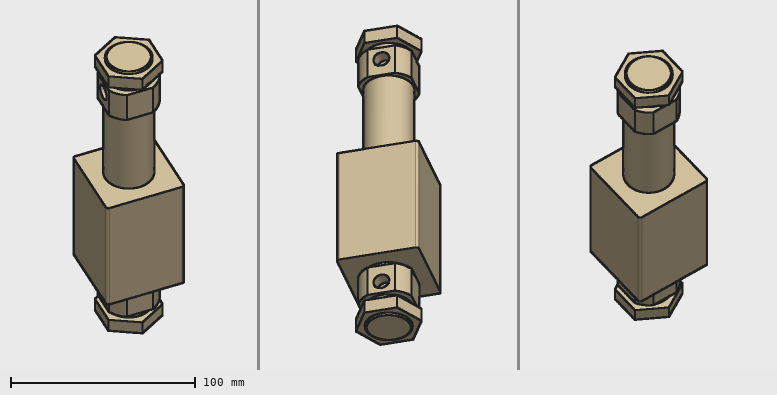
import cadquery as cq
import math

total_length = 187.0

carriage_width = 46.0
carriage_bottom = -60.0
carriage_length = 70.0
carriage_corner_radius = 1.5

tube_diameter = 27.8

tip_diameter = 26.0
tip_height = 1.0
tip_taper = 45.0
nut_across_flats = 32.0
nut_height = 8.0
neck_diameter = 26.0
neck_height = 4.0
head_width = 30.0
head_height = 18.0
head_flat_width = 15.4
port_diameter = 8.7
port_depth = 8.0
port_offset = 7.5

tip_top = total_length / 2
nut_top = tip_top - tip_height
nut_bottom = nut_top - nut_height
head_top = nut_bottom - neck_height
head_bottom = head_top - head_height
port_height = head_top - port_offset
nut_across_corners = nut_across_flats / math.cos(math.pi / 6)
head_diameter = math.hypot(head_width, head_flat_width)


def disc(diameter, bottom, top):
    """Round bar along Z between two heights."""
    return cq.Workplane("XY").workplane(offset=bottom).circle(diameter / 2).extrude(top - bottom)


def make_head():
    """Round head with four flats and a blind port in its -Y flat."""
    flats = (
        cq.Workplane("XY").workplane(offset=head_bottom)
        .rect(head_width, head_width).extrude(head_height)
    )
    port = (
        cq.Workplane("XZ", origin=(0, -head_width / 2, port_height))
        .circle(port_diameter / 2).extrude(-port_depth)
    )
    return disc(head_diameter, head_bottom, head_top).intersect(flats).cut(port)


def make_end_fitting():
    """Upper end fitting: head, neck, hexagonal nut and conical tip."""
    nut = (
        cq.Workplane("XY").workplane(offset=nut_bottom)
        .polygon(6, nut_across_corners).extrude(nut_height)
    )
    tip = (
        cq.Workplane("XY").workplane(offset=nut_top)
        .circle(tip_diameter / 2).extrude(tip_height, taper=tip_taper)
    )
    neck = disc(neck_diameter, head_top, nut_bottom)
    return make_head().union(neck).union(nut).union(tip)


def make_cylinder():
    """Tube with a mirrored pair of end fittings."""
    upper_end = make_end_fitting()
    lower_end = upper_end.mirror("XY")
    return disc(tube_diameter, -head_bottom, head_bottom).union(upper_end).union(lower_end)


def make_carriage():
    """Square carriage with rounded edges, bored to slide on the tube."""
    return (
        cq.Workplane("XY").workplane(offset=carriage_bottom)
        .rect(carriage_width, carriage_width).extrude(carriage_length)
        .edges("|Z").fillet(carriage_corner_radius)
        .faces(">Z").workplane().hole(tube_diameter)
    )


cylinder = make_cylinder()
carriage = make_carriage()

result = cq.Compound.makeCompound([cylinder.val(), carriage.val()])